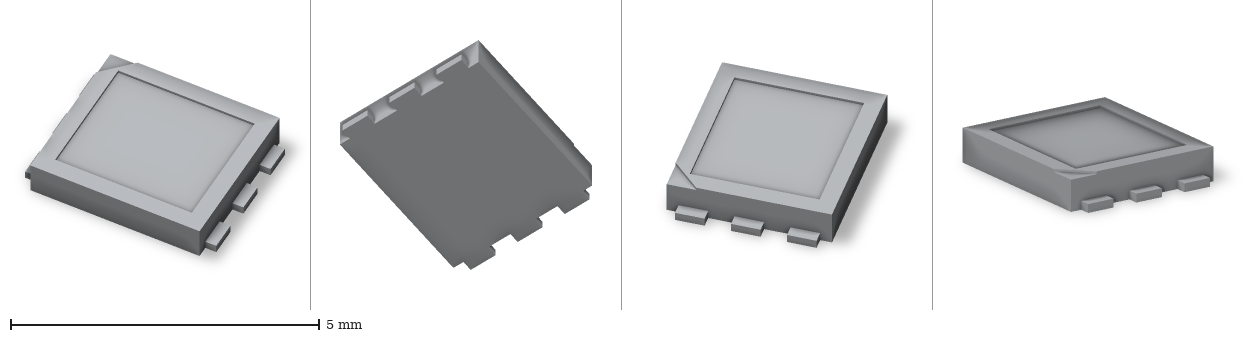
import cadquery as cq

overall_length = 3.5
lead_reach = 0.2
body_length = overall_length - 2 * lead_reach
body_width = 2.8
body_height = 0.6

lead_width = 0.5
lead_height = 0.15
lead_pitch = 0.95
leads_per_side = 3

rim_width = 0.3
recess_length = body_length - 2 * rim_width
recess_width = body_width - 2 * rim_width
floor_thickness = lead_height
top_step = 0.05

marker_leg = 0.5


def corner_prism(height):
    """Upright triangular prism filling the -X, +Y corner of the body."""
    corner_x = -body_length / 2
    corner_y = body_width / 2
    return (
        cq.Workplane("XY")
        .moveTo(corner_x, corner_y)
        .lineTo(corner_x + marker_leg, corner_y)
        .lineTo(corner_x, corner_y - marker_leg)
        .close()
        .extrude(height)
    )


def recess_block(height):
    """Rectangular block standing on the recess floor."""
    return (
        cq.Workplane("XY")
        .workplane(offset=floor_thickness)
        .rect(recess_length, recess_width)
        .extrude(height)
    )


def make_housing():
    """Box with the window recess and the marker corner cut away."""
    box = cq.Workplane("XY").rect(body_length, body_width).extrude(body_height)
    recess = recess_block(body_height - floor_thickness)
    return box.cut(recess).cut(corner_prism(body_height))


def make_lead(side, y):
    """One lead resting against the -X (side = -1) or +X (side = 1) housing wall."""
    x = side * (body_length + lead_reach) / 2
    return cq.Workplane("XY").center(x, y).rect(lead_reach, lead_width).extrude(lead_height)


housing = make_housing()
lens = recess_block(body_height - top_step - floor_thickness)
corner_marker = corner_prism(body_height - top_step)

leads = []
for side in (-1, 1):
    for index in range(leads_per_side):
        lead_y = (index - (leads_per_side - 1) / 2) * lead_pitch
        leads.append(make_lead(side, lead_y).val())

result = cq.Compound.makeCompound([housing.val(), lens.val(), corner_marker.val(), *leads])